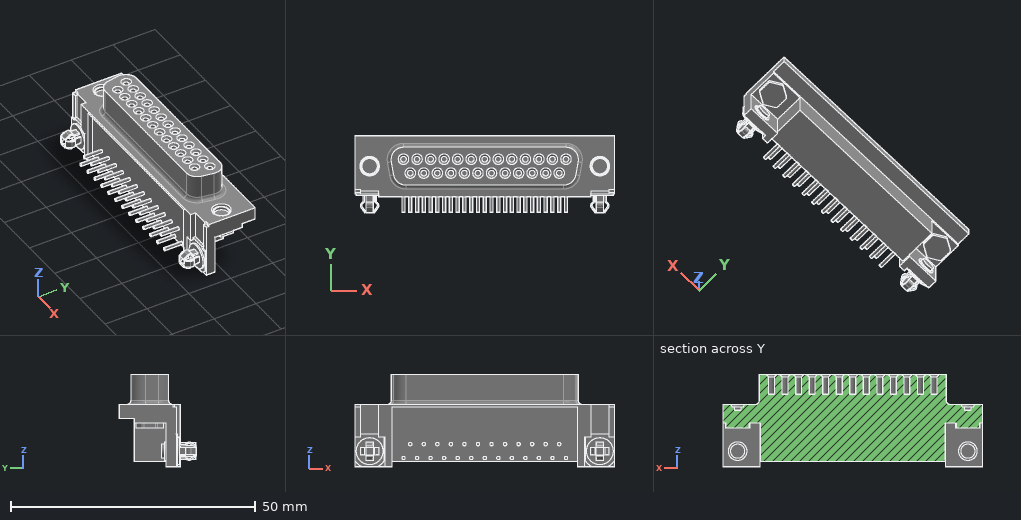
import math

import cadquery as cq


overall_depth = 15.81
overall_height = 18.9

flange_length = 53.09
flange_back_y = 6.27
board_face_y = -6.27
flange_thickness = 2.9
web_back_y = 3.2
web_bottom_z = -3.85
leg_back_y = -3.3
leg_bottom_z = -12.78
leg_inner_x = 18.95

body_bottom_z = -11.7
body_recess = 1.0
body_front_y = board_face_y + body_recess
body_top_z = -0.5

shell_height = overall_height + leg_bottom_z
shell_half_depth = 3.88
shell_half_width = 18.96
shell_side_angle = 10.0
shell_corner_radius = 2.55
shell_base_fillet = 0.8

contact_pitch = 2.77
row_pitch = 2.84
long_row_count = 13
short_row_count = 12
socket_mouth_diameter = 2.15
socket_diameter = 1.15
socket_mouth_depth = 0.5
socket_depth = 4.0
pin_diameter = 0.7
pin_tip_y = -9.45
pin_root_depth = 1.0
pin_root_y = body_front_y + pin_root_depth
short_row_pin_z = -8.13
long_row_pin_z = short_row_pin_z - row_pitch

mount_spacing = 47.1
mount_x = mount_spacing / 2
insert_mouth_diameter = 4.0
insert_ledge_outer_diameter = 3.6
insert_hole_diameter = 3.15
insert_mouth_depth = 0.5
insert_hole_depth = 1.2
insert_nut_width = 5.0
insert_nut_sides = 6
insert_nut_edge_radius = 0.4
insert_nut_height = 1.0

channel_inner_x = 21.73
channel_outer_x = 25.4
channel_floor_y = -5.1
seat_floor_y = -5.42
seat_top_z = -6.67
seat_inner_x = 20.4
corner_notch_y = -4.78
corner_notch_depth = 0.5

clip_z = -9.57
clip_plate_thickness = 0.3
clip_tongue_top_z = -6.1
clip_plate_half_width = 2.95
clip_plate_end_radius = 3.57
clip_plate_bottom_z = -12.7
clip_disc_radius = 2.75
clip_disc_thickness = 0.33
clip_plate_front_y = seat_floor_y - clip_plate_thickness
clip_disc_front_y = clip_plate_front_y - clip_disc_thickness
clip_tip_y = flange_back_y - overall_depth
prong_count = 4
prong_width = 1.5
prong_bend_y = -7.3
prong_knee_y = -7.95
prong_base_outer = 1.38
prong_base_inner = 1.02
prong_knee_outer = 2.13
prong_knee_inner = 1.7
prong_knee_outer_radius = 0.7
prong_knee_inner_radius = 0.4
prong_tip_outer = 1.03
prong_tip_inner = 0.77
prong_tip_bevel = 0.16
rivet_flange_radius = 1.9
rivet_flange_thickness = 0.25
rivet_head_radius = 1.45
rivet_head_thickness = 0.85

overlap = 0.1


def box(x_range, y_range, z_range):
    """Axis-aligned block between the given limits."""
    size = [high - low for low, high in (x_range, y_range, z_range)]
    corner = (x_range[0], y_range[0], z_range[0])
    return cq.Workplane("XY").box(*size, centered=False).translate(corner)


def rod_y(x, z, radius, y_start, y_end):
    """Cylinder parallel to Y that runs from y_start down to y_end."""
    plane = cq.Workplane("XZ", origin=(x, y_start, z))
    return plane.circle(radius).extrude(y_start - y_end)


def row_positions(count):
    return [(index - (count - 1) / 2) * contact_pitch for index in range(count)]


def make_housing():
    """L-shaped flange profile along the full length, opened at the middle for the body."""
    profile = [
        (flange_back_y, 0),
        (flange_back_y, -flange_thickness),
        (web_back_y, -flange_thickness),
        (web_back_y, web_bottom_z),
        (leg_back_y, web_bottom_z),
        (leg_back_y, leg_bottom_z),
        (board_face_y, leg_bottom_z),
        (board_face_y, 0),
    ]
    half = flange_length / 2
    bracket = cq.Workplane("YZ", origin=(-half, 0, 0)).polyline(profile).close().extrude(flange_length)
    middle = (-leg_inner_x, leg_inner_x)
    opening = box(middle, (board_face_y, leg_back_y), (leg_bottom_z, body_top_z))
    body = box(middle, (body_front_y, web_back_y), (body_bottom_z, body_top_z))
    return bracket.cut(opening).union(body)


def make_shell():
    """Tapered D-shaped shell, wide side at +Y, standing on the flange."""
    taper = shell_half_depth * math.tan(math.radians(shell_side_angle))
    wide = shell_half_width + taper
    narrow = shell_half_width - taper
    outline = [
        (-wide, shell_half_depth),
        (wide, shell_half_depth),
        (narrow, -shell_half_depth),
        (-narrow, -shell_half_depth),
    ]
    shell = cq.Workplane("XY").polyline(outline).close().extrude(shell_height)
    return shell.edges("|Z").fillet(shell_corner_radius)


def stepped_hole(x, y, z, mouth, ledge, mouth_depth, hole, depth):
    """Conical mouth from diameter mouth to ledge, then a blind hole, bored down from height z."""
    cone = cq.Solid.makeCone(mouth / 2, ledge / 2, mouth_depth, cq.Vector(x, y, z), cq.Vector(0, 0, -1))
    bore = cq.Solid.makeCylinder(hole / 2, depth, cq.Vector(x, y, z), cq.Vector(0, 0, -1))
    return cq.Workplane(obj=cone).union(cq.Workplane(obj=bore))


def cut_sockets(part):
    for count, y in ((long_row_count, row_pitch / 2), (short_row_count, -row_pitch / 2)):
        for x in row_positions(count):
            part = part.cut(stepped_hole(
                x, y, shell_height, socket_mouth_diameter, socket_diameter,
                socket_mouth_depth, socket_diameter, socket_depth))
    return part


def add_pins(part):
    for count, z in ((long_row_count, long_row_pin_z), (short_row_count, short_row_pin_z)):
        for x in row_positions(count):
            part = part.union(rod_y(x, z, pin_diameter / 2, pin_root_y, pin_tip_y))
    return part


def make_seat_cutter():
    """Material removed from the front of the leg at -X."""
    outer = -flange_length / 2
    channel = box((-channel_outer_x, -channel_inner_x), (board_face_y, channel_floor_y), (seat_top_z, 0))
    strip = box((outer, -channel_outer_x), (board_face_y, seat_floor_y), (seat_top_z, 0))
    seat = box((outer, -seat_inner_x), (board_face_y, seat_floor_y), (leg_bottom_z, seat_top_z))
    notch = box((outer, -channel_outer_x), (board_face_y, corner_notch_y), (-corner_notch_depth, 0))
    return channel.union(strip).union(seat).union(notch)


def make_clip_plate():
    """Seat plate with a rounded lower end and a tongue reaching up the channel."""
    left = -mount_x - clip_plate_half_width
    right = -mount_x + clip_plate_half_width
    depth_range = (clip_plate_front_y, seat_floor_y + overlap)
    plate = box((left, right), depth_range, (clip_plate_bottom_z, clip_z))
    plate = plate.intersect(rod_y(-mount_x, clip_z, clip_plate_end_radius, depth_range[1], depth_range[0]))
    plate = plate.union(box((left, right), depth_range, (clip_z, seat_top_z)))
    tongue = box(
        (-channel_outer_x, -channel_inner_x), (clip_plate_front_y, channel_floor_y + overlap),
        (seat_top_z - overlap, clip_tongue_top_z))
    return plate.union(tongue)


def make_prong():
    """One bent spring prong on the +X side of the clip axis."""
    profile = [
        (prong_base_inner, clip_disc_front_y + overlap),
        (prong_base_outer, clip_disc_front_y + overlap),
        (prong_base_outer, prong_bend_y),
        (prong_knee_outer, prong_knee_y),
        (prong_tip_outer, clip_tip_y),
        (prong_tip_inner, clip_tip_y + prong_tip_bevel),
        (prong_knee_inner, prong_knee_y),
        (prong_base_inner, prong_bend_y),
    ]
    prong = cq.Workplane("XY").polyline(profile).close().extrude(prong_width / 2, both=True)
    outer_knee = cq.selectors.NearestToPointSelector((prong_knee_outer, prong_knee_y, 0))
    prong = prong.edges(outer_knee).fillet(prong_knee_outer_radius)
    inner_knee = cq.selectors.NearestToPointSelector((prong_knee_inner, prong_knee_y, 0))
    return prong.edges(inner_knee).fillet(prong_knee_inner_radius)


def make_clip():
    """Board-lock clip in the leg at -X: plate, disc, four prongs and the rivet head behind the leg."""
    clip = make_clip_plate()
    clip = clip.union(rod_y(-mount_x, clip_z, clip_disc_radius, seat_floor_y, clip_disc_front_y))
    for index in range(prong_count):
        prong = make_prong().rotate((0, 0, 0), (0, 1, 0), 360 / prong_count * index)
        clip = clip.union(prong.translate((-mount_x, 0, clip_z)))
    for radius, thickness in (
        (rivet_flange_radius, rivet_flange_thickness),
        (rivet_head_radius, rivet_head_thickness),
    ):
        clip = clip.union(rod_y(-mount_x, clip_z, radius, leg_back_y + thickness, leg_back_y - overlap))
    return clip


def make_insert_nut():
    """Hexagonal end of the threaded insert under the web at -X, with rounded corners along Y."""
    plane = cq.Workplane("XY", origin=(-mount_x, 0, web_bottom_z - insert_nut_height))
    corner_diameter = insert_nut_width / math.cos(math.pi / insert_nut_sides)
    nut = plane.polygon(insert_nut_sides, corner_diameter).extrude(insert_nut_height + overlap)
    nut = nut.edges("|Z").fillet(insert_nut_edge_radius)
    return nut.rotate((-mount_x, 0, 0), (-mount_x, 0, 1), 90)


def both_ends(piece):
    return piece.union(piece.mirror("YZ"))


def fillet_shell_root(part):
    """Rounds the edges where the shell meets the flange face at Z = 0."""
    reach_x = shell_half_width + shell_corner_radius
    reach_y = shell_half_depth + overlap
    root_edges = cq.selectors.BoxSelector((-reach_x, -reach_y, -overlap), (reach_x, reach_y, overlap))
    return part.edges(root_edges).fillet(shell_base_fillet)


def make_connector():
    part = fillet_shell_root(make_housing().union(make_shell()))
    part = part.cut(both_ends(make_seat_cutter()))
    part = part.union(both_ends(make_insert_nut()))
    part = part.cut(both_ends(stepped_hole(
        -mount_x, 0, 0, insert_mouth_diameter, insert_ledge_outer_diameter,
        insert_mouth_depth, insert_hole_diameter, insert_hole_depth)))
    part = cut_sockets(part)
    part = add_pins(part)
    return part.union(both_ends(make_clip()))


result = make_connector()